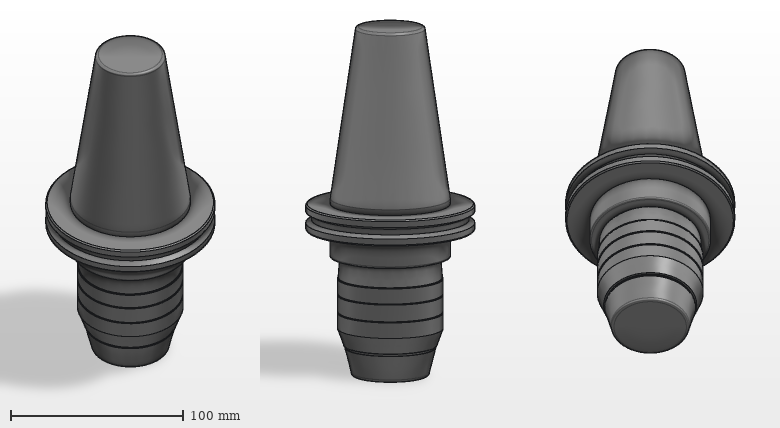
import cadquery as cq

total_height = 206.5
gauge_z = 105.0
gauge_radius = 35.0
taper_slope = 7 / 48
top_round_height = 1.5
top_face_radius = 18.5

flange_radius = 49.2
flange_top_z = 101.6
flange_bottom_z = 86.2
flange_chamfer = 0.8
groove_floor_radius = 45.9
groove_top_z = 97.3
groove_floor_top_z = 95.7
groove_floor_bottom_z = 92.4
groove_bottom_z = 90.5

collar_radius = 35.1
collar_bottom_z = 70.2
collar_round = 1.0
undercut_radius = 28.0
undercut_bottom_z = 69.0

neck_top_radius = 29.5
neck_bottom_radius = 30.4
neck_bottom_z = 57.8
neck_groove_radius = 30.2
body_radius = 30.8
body_top_z = 57.2
body_bottom_z = 27.9
ring_groove_heights = (48.0, 37.4)
ring_groove_width = 0.6
ring_groove_depth = 0.5

shoulder_end_radius = 27.0
shoulder_end_z = 17.8
nose_groove_radius = 25.8
nose_top_radius = 26.5
nose_top_z = 16.3
nose_end_radius = 22.7
nose_round_height = 1.7
bottom_face_radius = 21.0


def revolve_outline():
    """Revolve the stepped half outline about Z, from the nose up to the shank end."""
    taper_end_z = total_height - top_round_height
    taper_end_radius = gauge_radius - taper_slope * (taper_end_z - gauge_z)

    outline = (
        cq.Workplane("XZ")
        .lineTo(bottom_face_radius, 0)
        .tangentArcPoint((nose_end_radius, nose_round_height), relative=False)
        .lineTo(nose_top_radius, nose_top_z)
        .lineTo(nose_groove_radius, nose_top_z)
        .lineTo(nose_groove_radius, shoulder_end_z)
        .lineTo(shoulder_end_radius, shoulder_end_z)
        .lineTo(body_radius, body_bottom_z)
        .lineTo(body_radius, body_top_z)
        .lineTo(neck_groove_radius, body_top_z)
        .lineTo(neck_groove_radius, neck_bottom_z)
        .lineTo(neck_bottom_radius, neck_bottom_z)
        .lineTo(neck_top_radius, undercut_bottom_z)
        .lineTo(undercut_radius, undercut_bottom_z)
        .lineTo(undercut_radius, collar_bottom_z)
        .lineTo(collar_radius - collar_round, collar_bottom_z)
        .tangentArcPoint((collar_radius, collar_bottom_z + collar_round), relative=False)
        .lineTo(collar_radius, flange_bottom_z)
        .lineTo(flange_radius - flange_chamfer, flange_bottom_z)
        .lineTo(flange_radius, flange_bottom_z + flange_chamfer)
        .lineTo(flange_radius, groove_bottom_z)
        .lineTo(groove_floor_radius, groove_floor_bottom_z)
        .lineTo(groove_floor_radius, groove_floor_top_z)
        .lineTo(flange_radius, groove_top_z)
        .lineTo(flange_radius, flange_top_z - flange_chamfer)
        .lineTo(flange_radius - flange_chamfer, flange_top_z)
        .lineTo(gauge_radius, flange_top_z)
        .lineTo(gauge_radius, gauge_z)
        .lineTo(taper_end_radius, taper_end_z)
        .tangentArcPoint((top_face_radius, total_height), relative=False)
        .lineTo(0, total_height)
        .close()
    )
    return outline.revolve(360, (0, 0, 0), (0, 1, 0))


def ring_groove(center_z):
    """Thin ring that cuts a shallow groove around the body."""
    return (
        cq.Workplane("XY", origin=(0, 0, center_z - ring_groove_width / 2))
        .circle(body_radius + ring_groove_depth)
        .circle(body_radius - ring_groove_depth)
        .extrude(ring_groove_width)
    )


result = revolve_outline()
for groove_z in ring_groove_heights:
    result = result.cut(ring_groove(groove_z))